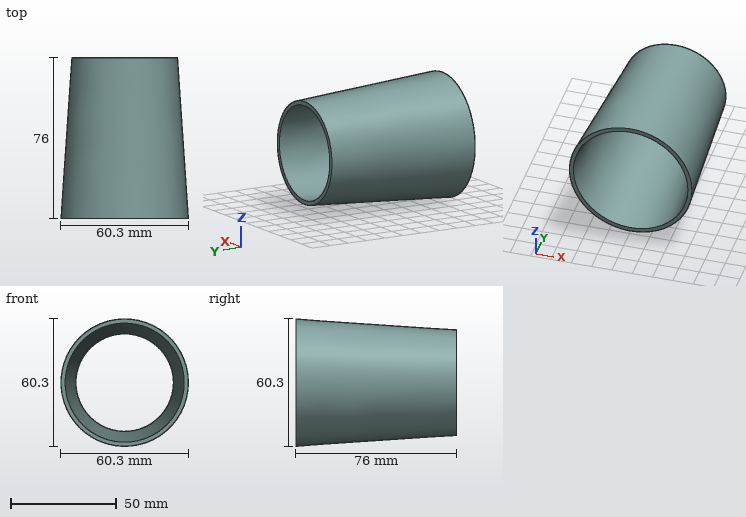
import cadquery as cq

length = 76.0
wide_diameter = 60.3
narrow_diameter = 50.0
wall = 2.0

wide_radius = wide_diameter / 2
narrow_radius = narrow_diameter / 2


def tapered_wall_section():
    """Half section of the wall, to one side of the Y axis."""
    return (
        cq.Workplane("XY")
        .moveTo(wide_radius - wall, 0)
        .lineTo(wide_radius, 0)
        .lineTo(narrow_radius, length)
        .lineTo(narrow_radius - wall, length)
        .close()
    )


result = tapered_wall_section().revolve(360, (0, 0, 0), (0, 1, 0))